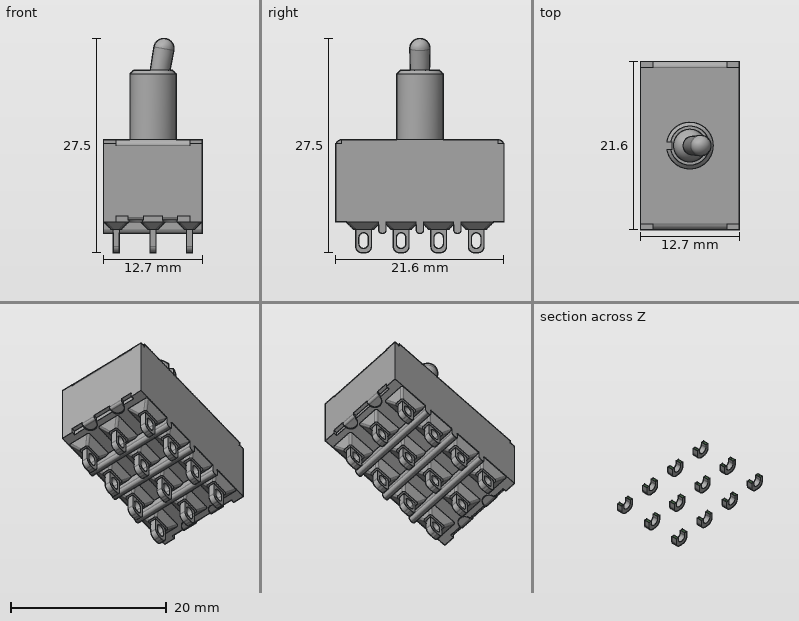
import cadquery as cq
import math

total_height = 27.5
body_x = 12.7
body_y = 21.6
body_bottom = 3.95
body_top = 14.52

cover_half_x = 4.75
cover_thickness = 0.5
cover_fold_radius = 0.77
cover_bottom = 4.73

tab_width = 1.92
tab_offset = 2.2
tab_bottom = 4.18
tab_bend_radius = 0.35
tab_relief_radius = 0.88

bushing_diameter = 6.0
bushing_top = 23.43
bushing_chamfer = 0.5
bore_diameter = 4.2
keyway_width = 0.95
keyway_floor_radius = 2.28

lever_tilt = 10.0
tip_radius = 1.32
tip_reach = 8.1
lever_pivot_radius = 1.15
tip_center_z = total_height - tip_radius
pivot_z = tip_center_z - tip_reach * math.cos(math.radians(lever_tilt))

terminal_pitch_x = 4.7
terminal_pitch_y = 4.8
terminal_columns = 3
terminal_rows = 4
terminal_thickness = 0.8
terminal_width = 2.04
terminal_corner_radius = 0.8
eye_width = 1.18
eye_height = 1.98
eye_center_z = 1.57
pad_bottom = 3.02
pad_top_x = 3.2
pad_top_y = 4.48
pad_corner_radius = 0.4
pad_taper = 45.0

rib_width = 0.95
rib_bottom = 2.48
rib_corner_radius = 0.45


def box(x_size, y_size, z_low, z_high):
    """Box centred on X and Y between two heights."""
    return cq.Workplane("XY").workplane(offset=z_low).rect(x_size, y_size).extrude(z_high - z_low)


def centered_positions(count, pitch):
    return [(i - (count - 1) / 2) * pitch for i in range(count)]


def make_body():
    """Block with lowered top corners, folded cover ends and recesses below the cover."""
    body = box(body_x, body_y, body_bottom, body_top).edges("|X and >Z").fillet(cover_fold_radius)
    corner_x = body_x / 2 - cover_half_x
    for x_side in (-1, 1):
        for y_side in (-1, 1):
            post_x = x_side * (body_x - corner_x) / 2
            post_y = y_side * (body_y - cover_fold_radius) / 2
            post = box(corner_x, cover_fold_radius, body_bottom, body_top).translate((post_x, post_y, 0))
            step = box(corner_x, cover_fold_radius, body_top - cover_thickness, body_top)
            body = body.union(post).cut(step.translate((post_x, post_y, 0)))
    recess = box(2 * cover_half_x, cover_thickness, body_bottom, cover_bottom)
    for y_side in (-1, 1):
        body = body.cut(recess.translate((0, y_side * (body_y - cover_thickness) / 2, 0)))
    return body


def add_tabs(body):
    """Bent tabs under the cover ends, with round reliefs in the block beneath them."""
    tab = box(tab_width, cover_thickness, tab_bottom, cover_bottom)
    tab = tab.edges("|X and <Z and <Y").fillet(tab_bend_radius)
    tab = tab.translate((0, -(body_y - cover_thickness) / 2, 0))
    relief = cq.Workplane("XY").workplane(offset=body_bottom).circle(tab_relief_radius)
    relief = relief.extrude(tab_bottom - body_bottom).translate((0, cover_thickness - body_y / 2, 0))
    for turn in (0, 180):
        for x in (-tab_offset, tab_offset):
            body = body.cut(relief.translate((x, 0, 0)).rotate((0, 0, 0), (0, 0, 1), turn))
            body = body.union(tab.translate((x, 0, 0)).rotate((0, 0, 0), (0, 0, 1), turn))
    return body


def make_bushing():
    bushing = cq.Workplane("XY").workplane(offset=body_top).circle(bushing_diameter / 2)
    bushing = bushing.extrude(bushing_top - body_top).faces(">Z").chamfer(bushing_chamfer)
    bore = cq.Workplane("XY").workplane(offset=pivot_z).circle(bore_diameter / 2)
    bushing = bushing.cut(bore.extrude(bushing_top - pivot_z))
    keyway_depth = bushing_diameter / 2 - keyway_floor_radius
    keyway = box(keyway_depth, keyway_width, body_top, bushing_top)
    return bushing.cut(keyway.translate((-keyway_floor_radius - keyway_depth / 2, 0, 0)))


def make_lever():
    """Pivot ball with a slightly flared round lever ending in a spherical tip."""
    profile = cq.Workplane("XZ").lineTo(lever_pivot_radius, 0).lineTo(tip_radius, tip_reach)
    diagonal = tip_radius * math.sqrt(0.5)
    profile = profile.threePointArc((diagonal, tip_reach + diagonal), (0, tip_reach + tip_radius)).close()
    lever = profile.revolve(360, (0, 0, 0), (0, 1, 0)).rotate((0, 0, 0), (0, 1, 0), lever_tilt)
    ball = cq.Workplane("XY").sphere(bore_diameter / 2)
    return ball.union(lever).translate((0, 0, pivot_z))


def make_pad():
    """Pad narrowing downwards, with rounded slanting corners."""
    pad = cq.Workplane("XY").workplane(offset=body_bottom).rect(pad_top_x, pad_top_y)
    pad = pad.extrude(pad_bottom - body_bottom, taper=pad_taper)
    return pad.edges("not #Z").fillet(pad_corner_radius)


def make_terminal():
    """Flat solder lug with rounded lower corners and an oblong eye."""
    lug = box(terminal_thickness, terminal_width, 0, body_bottom)
    lug = lug.edges("|X and <Z").fillet(terminal_corner_radius)
    eye = cq.Workplane("YZ").center(0, eye_center_z).slot2D(eye_height, eye_width, 90)
    return lug.cut(eye.extrude(terminal_thickness, both=True))


def make_rib():
    rib = box(body_x, rib_width, rib_bottom, body_bottom)
    return rib.edges("|X and <Z").fillet(rib_corner_radius)


result = add_tabs(make_body()).union(make_bushing()).union(make_lever())

rib = make_rib()
for y in centered_positions(terminal_rows - 1, terminal_pitch_y):
    result = result.union(rib.translate((0, y, 0)))

padded_terminal = make_pad().union(make_terminal())
for x in centered_positions(terminal_columns, terminal_pitch_x):
    for y in centered_positions(terminal_rows, terminal_pitch_y):
        result = result.union(padded_terminal.translate((x, y, 0)))